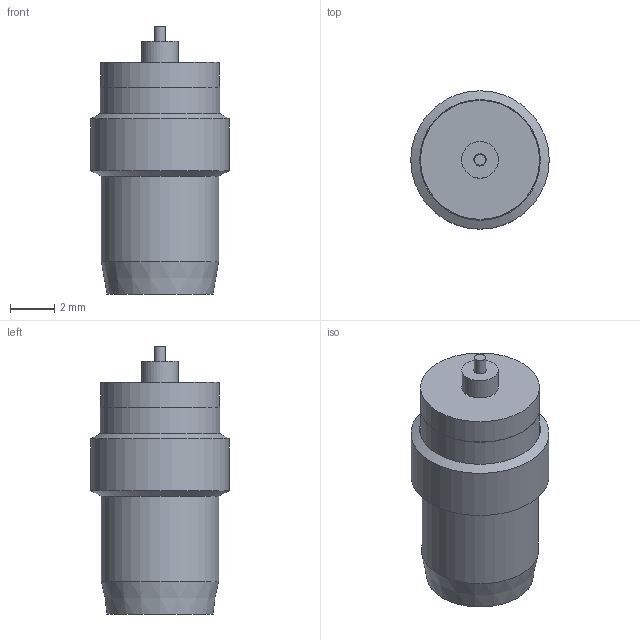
import cadquery as cq


collar_diameter = 6.26
upper_body_diameter = 5.40
cap_diameter = 5.38
lower_body_diameter = 5.30
nose_tip_diameter = 4.80
insulator_diameter = 1.66
pin_diameter = 0.50

nose_height = 1.46
lower_body_height = 3.865
collar_lower_chamfer_height = 0.255
collar_height = 2.34
collar_upper_chamfer_height = 0.225
upper_body_height = 1.195
cap_height = 1.13
insulator_height = 0.95
pin_height = 0.70

collar_bore_diameter = 5.46
pin_hole_diameter = 0.56
clearance_depth = 0.10

nose_top = nose_height
lower_body_top = nose_top + lower_body_height
collar_bottom = lower_body_top + collar_lower_chamfer_height
collar_top = collar_bottom + collar_height
collar_face = collar_top + collar_upper_chamfer_height
upper_body_top = collar_face + upper_body_height
cap_top = upper_body_top + cap_height
insulator_top = cap_top + insulator_height


def cylinder(diameter, bottom, height):
    """Upright cylinder on the Z axis."""
    return cq.Workplane("XY").workplane(offset=bottom).circle(diameter / 2).extrude(height)


def clearance(hole_diameter, core_diameter, top):
    """Thin ring to remove around a core, sunk below the face at the top level."""
    bottom = top - clearance_depth
    hole = cylinder(hole_diameter, bottom, clearance_depth)
    return hole.cut(cylinder(core_diameter, bottom, clearance_depth))


def make_shell():
    """Tapered nose, lower body and double-chamfered collar."""
    outline = [
        (0, 0),
        (nose_tip_diameter / 2, 0),
        (lower_body_diameter / 2, nose_top),
        (lower_body_diameter / 2, lower_body_top),
        (collar_diameter / 2, collar_bottom),
        (collar_diameter / 2, collar_top),
        (collar_bore_diameter / 2, collar_face),
        (0, collar_face),
    ]
    return cq.Workplane("XZ").polyline(outline).close().revolve(360, (0, 0, 0), (0, 1, 0))


def make_top_stack():
    """Upper body, cap, insulator and contact pin, stacked on the collar face."""
    stack = cylinder(upper_body_diameter, collar_face, upper_body_height)
    stack = stack.union(cylinder(cap_diameter, upper_body_top, cap_height))
    stack = stack.union(cylinder(insulator_diameter, cap_top, insulator_height))
    return stack.union(cylinder(pin_diameter, insulator_top, pin_height))


connector = make_shell().union(make_top_stack())
connector = connector.cut(clearance(collar_bore_diameter, upper_body_diameter, collar_face))
result = connector.cut(clearance(pin_hole_diameter, pin_diameter, insulator_top))